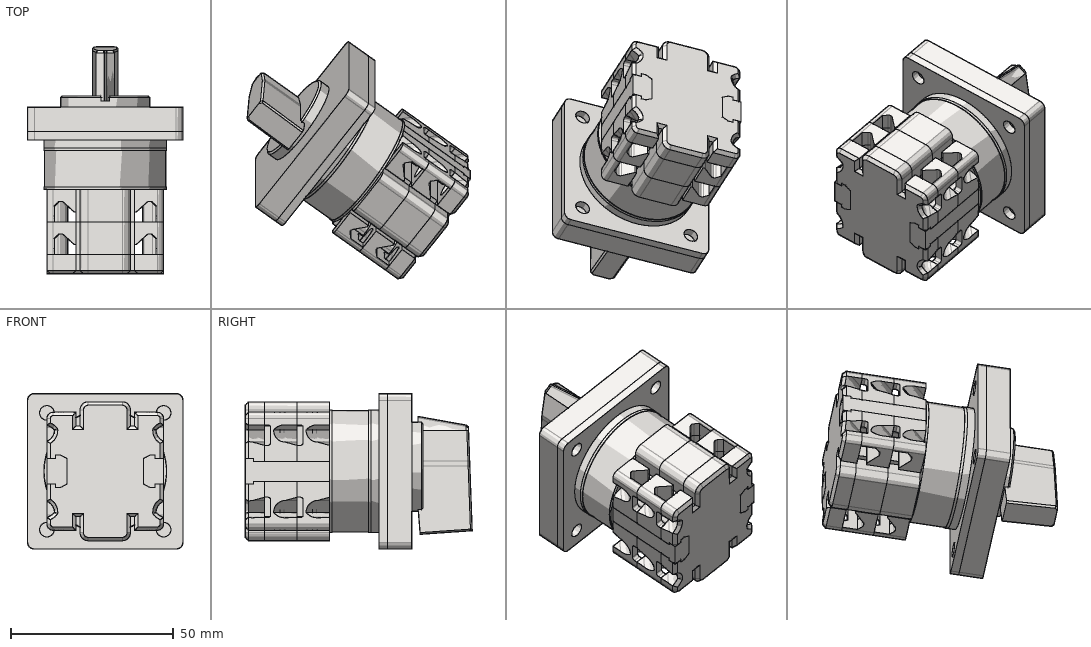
import cadquery as cq
import math


cover_length = 6.0
contact_length = 10.0
contact_count = 2
blocks_front = cover_length + contact_count * contact_length
housing_front = 38.9
plate_back = 41.25
plate_front = 43.85
bezel_front = 51.4
disc_front = 54.9
knob_front = 70.05

block_half_width = 18.0
block_half_height = 18.2
block_corner = 1.95
rib_half_width = 7.8
rib_half_height = 21.4
rib_corner = 2.5
slot_width = 1.25
slot_floor = 14.0
slot_edge = rib_half_width + slot_width
cover_chamfer = 1.05

funnel_length = 7.35
funnel_top = 14.3
funnel_bottom = 8.0
funnel_upper_start = (4.2, funnel_top)
funnel_upper_middle = (1.55, 13.9)
funnel_apex = (0.1, 12.7)
funnel_lower_middle = (0.55, 10.85)
funnel_lower_end = (3.8, 9.0)

notch_outer = 15.7
notch_depth = 6.3
notch_outer_depth = 4.75
notch_peak_outer = 14.15
notch_peak_inner = 13.2
notch_step = 9.6
notch_step_depth = 3.0
notch_peak_radius = 1.05
sill_inner = 11.55
sill_top = 7.15
sill_radius = 3.1
window_depth = 1.8
window_corner = 0.85

clip_strip_half_height = 3.1
clip_head_half_height = 3.9
clip_hook_half_height = 5.0
clip_head_length = 2.5
clip_strip_inner = 15.3
clip_hook_bevel_start = 13.7
clip_inner = 11.8

flange_diameter = 37.9
barrel_diameter = 37.55
front_flange_length = 0.85
rear_lip_length = 0.7

plate_size = 48.0
plate_corner = 2.1
mount_hole_diameter = 4.5
mount_hole_pitch = 36.0

knob_axis_z = 1.4
disc_diameter = 27.6
disc_chamfer = 0.55
knob_half_width = 4.0
knob_kink_z = 2.4
knob_kink_radius = 14.0
nose_half_width = 2.9
nose_base_z = 12.55
nose_base_y = 53.2
nose_base_top = 16.95
nose_tip_y = 68.1
nose_tip_top = 14.3
nose_end_y = 68.9
nose_end_top = 13.7
nose_end_half_width = 2.25
ridge_half_width = 0.55
ridge_flat_half_width = 0.3
ridge_bevel_height = 0.4
tail_tip_z = -18.35
tail_corner_y = 53.9
tail_corner_z = -19.5
tail_under_y = 53.4
tail_under_z = -12.25
knob_chamfer = 0.55


def workplane_xz(y):
    """Workplane at station y whose extrusions grow toward +Y; its local x is -X and local y is Z."""
    return cq.Workplane(cq.Plane(origin=(0, y, 0), xDir=(-1, 0, 0), normal=(0, 1, 0)))


def disc_between(y_start, y_end, diameter, z=0):
    """Round disc along Y."""
    return workplane_xz(y_start).center(0, z).circle(diameter / 2).extrude(y_end - y_start)


def four_corners(shape):
    """The shape and its mirror images across the X = 0 and Z = 0 planes."""
    upper = shape.union(shape.mirror("YZ"))
    return upper.union(upper.mirror("XY"))


def block_blank(y_start, length):
    """Square block with a central rib on top and bottom, set off by two narrow slots on each side."""
    square = (
        workplane_xz(y_start)
        .rect(2 * block_half_width, 2 * block_half_height)
        .extrude(length)
        .edges("|Y")
        .fillet(block_corner)
    )
    rib = (
        workplane_xz(y_start)
        .rect(2 * rib_half_width, 2 * rib_half_height)
        .extrude(length)
        .edges("|Y")
        .fillet(rib_corner)
    )
    slot_height = block_half_height - slot_floor
    slot = (
        workplane_xz(y_start)
        .center(rib_half_width + slot_width / 2, slot_floor + slot_height / 2)
        .rect(slot_width, slot_height)
        .extrude(length)
    )
    return square.union(rib).cut(four_corners(slot))


def funnel_outline(workplane):
    """Teardrop section in the workplane; local x runs outward from the apex, local y is Z."""
    return (
        workplane.moveTo(funnel_length, funnel_bottom)
        .lineTo(funnel_length, funnel_top)
        .lineTo(*funnel_upper_start)
        .threePointArc(funnel_upper_middle, funnel_apex)
        .threePointArc(funnel_lower_middle, funnel_lower_end)
        .close()
    )


def funnels(y_front):
    """Four teardrop funnels that run inward at 45 degrees and open at the block's front face."""
    apex_y = y_front - funnel_length
    outline = funnel_outline(cq.Workplane("YZ", origin=(-block_half_width, apex_y, 0)))
    direction = cq.Vector(funnel_length, funnel_length, 0)
    funnel = cq.Workplane(cq.Solid.extrudeLinear(outline.val(), [], direction))
    return four_corners(funnel)


def funnel_mouths():
    """Flared mouths where the cover's funnels break through its outer face."""
    depth = cover_chamfer + funnel_length - cover_length
    apex_x = block_half_width - depth
    outline = funnel_outline(cq.Workplane("XZ", origin=(apex_x, cover_chamfer, 0)))
    return four_corners(outline.extrude(cover_chamfer, taper=-45))


def screw_notches(y_back):
    """Four notches cut down from top and bottom, joined past the rounded sills of the side walls."""
    plan = (
        cq.Workplane("XY", origin=(0, y_back, -block_half_height))
        .polyline([
            (-notch_outer, 0),
            (-notch_outer, notch_outer_depth),
            (-notch_peak_outer, notch_depth),
            (-notch_peak_inner, notch_depth),
            (-notch_step, notch_step_depth),
            (-slot_edge, notch_step_depth),
            (-slot_edge, 0),
        ])
        .close()
        .extrude(2 * block_half_height)
        .edges("|Z and >Y")
        .fillet(notch_peak_radius)
    )
    sill_flat_end = sill_inner + sill_radius
    sill_arc_centre_z = sill_top - sill_radius
    arc_step = sill_radius * math.sqrt(0.5)
    sill = (
        workplane_xz(y_back)
        .moveTo(block_half_width, -sill_top)
        .lineTo(block_half_width, sill_top)
        .lineTo(sill_flat_end, sill_top)
        .threePointArc(
            (sill_flat_end - arc_step, sill_arc_centre_z + arc_step), (sill_inner, sill_arc_centre_z)
        )
        .lineTo(sill_inner, -sill_arc_centre_z)
        .threePointArc(
            (sill_flat_end - arc_step, -sill_arc_centre_z - arc_step), (sill_flat_end, -sill_top)
        )
        .close()
        .extrude(contact_length)
    )
    notch = plan.cut(sill)
    return notch.union(notch.mirror("YZ"))


def side_windows(y_back):
    """Four rectangular windows through the side walls, open at the block's back face."""
    wall = block_half_width - notch_outer
    window = (
        cq.Workplane("YZ", origin=(-block_half_width, y_back, 0))
        .center(window_depth / 2, (funnel_top + funnel_bottom) / 2)
        .rect(window_depth, funnel_top - funnel_bottom)
        .extrude(wall)
        .edges("|X and >Y")
        .fillet(window_corner)
    )
    return four_corners(window)


def with_clip_channels(block):
    """The block with a channel that each clip fills."""
    for clip in clips:
        block = block.cut(clip)
    return block


def contact_block(y_back):
    """Contact block with wire funnels in front and screw notches and side windows at the back."""
    block = block_blank(y_back, contact_length)
    block = block.cut(screw_notches(y_back)).cut(side_windows(y_back))
    return with_clip_channels(block.cut(funnels(y_back + contact_length)))


def end_cover():
    """Cover with a chamfered outer rim and flared funnel mouths."""
    cover = block_blank(0, cover_length).faces("<Y").chamfer(cover_chamfer)
    return with_clip_channels(cover.cut(funnels(cover_length)).cut(funnel_mouths()))


def side_clip():
    """Flush strip along the block's -X side with a head and a bevelled hook set into the cover."""
    strip = (
        workplane_xz(0)
        .center((block_half_width + clip_strip_inner) / 2, 0)
        .rect(block_half_width - clip_strip_inner, 2 * clip_strip_half_height)
        .extrude(blocks_front)
    )
    half_outline = [
        (block_half_width, clip_head_half_height),
        (clip_strip_inner, clip_head_half_height),
        (clip_strip_inner, clip_hook_half_height),
        (clip_hook_bevel_start, clip_hook_half_height),
        (clip_inner, clip_head_half_height),
    ]
    mirrored = [(x, -z) for x, z in reversed(half_outline)]
    head = workplane_xz(0).polyline(half_outline + mirrored).close().extrude(clip_head_length)
    return strip.union(head)


def round_housing():
    barrel = disc_between(blocks_front, housing_front, barrel_diameter)
    rear_lip = disc_between(blocks_front, blocks_front + rear_lip_length, flange_diameter)
    front_flange = disc_between(housing_front - front_flange_length, housing_front, flange_diameter)
    return barrel.union(rear_lip).union(front_flange)


def square_plate(y_start, y_end):
    return (
        workplane_xz(y_start)
        .rect(plate_size, plate_size)
        .extrude(y_end - y_start)
        .edges("|Y")
        .fillet(plate_corner)
    )


def mounting_plate():
    collar = disc_between(housing_front, plate_back, flange_diameter)
    holes = (
        workplane_xz(plate_back)
        .rect(mount_hole_pitch, mount_hole_pitch, forConstruction=True)
        .vertices()
        .circle(mount_hole_diameter / 2)
        .extrude(plate_front - plate_back)
    )
    return square_plate(plate_back, plate_front).cut(holes).union(collar)


def knob_disc():
    disc = disc_between(bezel_front, disc_front, disc_diameter, knob_axis_z)
    return disc.faces(">Y").edges().chamfer(disc_chamfer)


def knob_handle():
    """Grip with parallel lower sides and tapering upper sides; its front and tail faces lean slightly."""
    side_outline = (
        cq.Workplane("YZ", origin=(-knob_half_width, 0, 0))
        .polyline([
            (nose_base_y, nose_base_z),
            (nose_end_y, nose_base_z),
            (knob_front, tail_tip_z),
            (tail_corner_y, tail_corner_z),
            (tail_under_y, tail_under_z),
        ])
        .close()
        .extrude(2 * knob_half_width)
    )
    cross_section = (
        workplane_xz(nose_base_y)
        .polyline([
            (knob_half_width, tail_corner_z),
            (knob_half_width, knob_kink_z),
            (nose_half_width, nose_base_z),
            (-nose_half_width, nose_base_z),
            (-knob_half_width, knob_kink_z),
            (-knob_half_width, tail_corner_z),
        ])
        .close()
        .extrude(knob_front - nose_base_y)
    )
    kinks = cross_section.edges("|Y").edges("not(>Z or <Z)")
    handle = side_outline.intersect(kinks.fillet(knob_kink_radius))
    handle = handle.faces(">Y").edges("not |X").chamfer(knob_chamfer)
    return handle.faces("<Z").edges("not |X").chamfer(knob_chamfer)


def nose_section(y, half_width, top):
    """Wedge section at station y, from the handle's top up to the narrow bevelled ridge."""
    points = [
        (-half_width, nose_base_z),
        (-ridge_half_width, top - ridge_bevel_height),
        (-ridge_flat_half_width, top),
        (ridge_flat_half_width, top),
        (ridge_half_width, top - ridge_bevel_height),
        (half_width, nose_base_z),
    ]
    return cq.Wire.makePolygon([cq.Vector(x, y, z) for x, z in points], close=True)


def knob_nose():
    """Pointer wedge that falls toward the knob's front face."""
    sections = [
        nose_section(nose_base_y, nose_half_width, nose_base_top),
        nose_section(nose_tip_y, nose_half_width, nose_tip_top),
        nose_section(nose_end_y, nose_end_half_width, nose_end_top),
    ]
    return cq.Workplane(cq.Solid.makeLoft(sections, True))


def pointer_knob():
    """Handle and pointer nose, with both ends reaching past the disc's rim."""
    return knob_handle().union(knob_nose()).cut(disc)


left_clip = side_clip()
clips = [left_clip, left_clip.mirror("YZ")]
contacts = [contact_block(cover_length + i * contact_length) for i in range(contact_count)]
cover = end_cover()
housing = round_housing()
plate = mounting_plate()
bezel = square_plate(plate_front, bezel_front)
disc = knob_disc()
knob = pointer_knob()

bodies = [cover, *contacts, *clips, housing, plate, bezel, disc, knob]
result = cq.Compound.makeCompound([body.solids().val() for body in bodies])